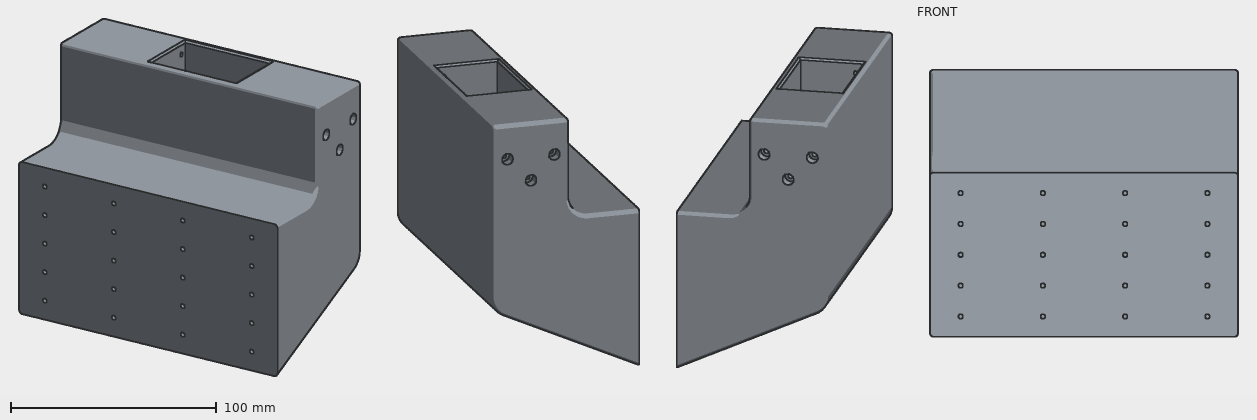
import cadquery as cq
import math

width = 150.0
depth = 75.0
height = 130.0
tower_depth = 39.0
panel_height = 80.0
underside_angle = 25.0
step_radius = 10.0
heel_radius = 9.9
edge_radius = 2.0

pocket_length = 49.2
pocket_width = 31.2
pocket_chamfer = 1.0
pocket_chamfer_angle = 45
pocket_hole_diameter = 2.2
pocket_hole_drop = 6.0
pocket_hole_depth = 7.5

panel_hole_diameter = 2.2
panel_hole_depth = 7.5
panel_columns = 4
panel_rows = 5
panel_side_margin = 15.0
panel_row_pitch = 15.0

screw_diameter = 2.7
screw_depth = 15.0
counterbore_diameter = 5.5
counterbore_depth = 6.0
screw_spacing = 24.0
screw_drop = 17.7
lower_screw_offset = 12.0

tower_front = depth - tower_depth
tower_middle = depth - tower_depth / 2
heel_height = depth * math.tan(math.radians(underside_angle))


def make_body():
    """Stepped side profile with a sloped underside, rounded along its edges."""
    profile = [
        (0, 0),
        (depth, heel_height),
        (depth, height),
        (tower_front, height),
        (tower_front, panel_height),
        (0, panel_height),
    ]
    body = cq.Workplane("YZ").polyline(profile).close().extrude(width / 2, both=True)

    step_corner = cq.selectors.NearestToPointSelector((0, tower_front, panel_height))
    heel_corner = cq.selectors.NearestToPointSelector((0, depth, heel_height))
    body = body.edges("|X").edges(step_corner).fillet(step_radius)
    body = body.edges("|X").edges(heel_corner).fillet(heel_radius)

    end_edges = body.faces("<X or >X").edges("not <Y")
    tower_top_edges = body.faces(">Z").edges("|X")
    return end_edges.add(tower_top_edges).fillet(edge_radius)


def make_pocket():
    """Rectangular pocket from the tower top down to shelf level, with a chamfered mouth."""
    hollow = (
        cq.Workplane("XY", origin=(0, tower_middle, panel_height))
        .rect(pocket_length, pocket_width)
        .extrude(height - panel_height)
    )
    mouth = (
        cq.Workplane("XY", origin=(0, tower_middle, height))
        .rect(pocket_length + 2 * pocket_chamfer, pocket_width + 2 * pocket_chamfer)
        .extrude(-pocket_chamfer, taper=pocket_chamfer_angle)
    )
    return hollow.union(mouth)


def make_pocket_holes():
    """One small blind hole near the back of each end wall of the pocket."""
    return (
        cq.Workplane("YZ", origin=(0, tower_middle + screw_spacing / 2, height - pocket_hole_drop))
        .circle(pocket_hole_diameter / 2)
        .extrude(pocket_length / 2 + pocket_hole_depth, both=True)
    )


def make_panel_holes():
    """Regular grid of blind holes centred on the front panel."""
    column_pitch = (width - 2 * panel_side_margin) / (panel_columns - 1)
    return (
        cq.Workplane("XZ", origin=(0, 0, panel_height / 2))
        .rarray(column_pitch, panel_row_pitch, panel_columns, panel_rows)
        .circle(panel_hole_diameter / 2)
        .extrude(-panel_hole_depth)
    )


def make_screw_holes():
    """Triangle of counterbored blind holes in the left end, mirrored to the right end."""
    places = [
        (-screw_spacing / 2, 0),
        (screw_spacing / 2, 0),
        (0, -lower_screw_offset),
    ]
    left_end = cq.Workplane("YZ", origin=(-width / 2, tower_middle, height - screw_drop)).pushPoints(places)
    shanks = left_end.circle(screw_diameter / 2).extrude(screw_depth)
    heads = left_end.circle(counterbore_diameter / 2).extrude(counterbore_depth)
    left_holes = shanks.union(heads)
    return left_holes.union(left_holes.mirror("YZ"))


result = (
    make_body()
    .cut(make_pocket())
    .cut(make_pocket_holes())
    .cut(make_panel_holes())
    .cut(make_screw_holes())
)